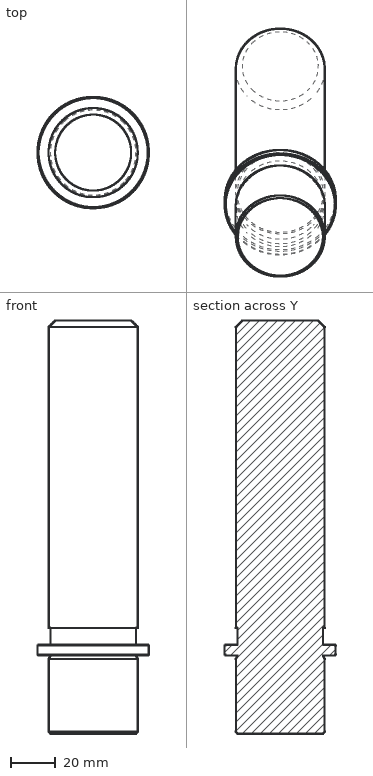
import cadquery as cq

total_height = 185.0
shaft_radius = 20.0
flange_radius = 25.0

shank_height = 35.0
base_chamfer = 1.0
shoulder_height = 1.5
shoulder_depth = 0.7

flange_height = 5.0
flange_chamfer = 0.5

neck_radius = 19.2
neck_height = 7.4

top_chamfer = 3.0


def cylinder(radius, bottom, top):
    """Solid cylinder on the Z axis between two heights."""
    return cq.Workplane("XY").workplane(offset=bottom).circle(radius).extrude(top - bottom)


flange_top = shank_height + flange_height
neck_top = flange_top + neck_height

shank = (
    cylinder(shaft_radius, 0, shank_height)
    .faces("<Z")
    .chamfer(base_chamfer)
    .faces(">Z")
    .chamfer(shoulder_height, shoulder_depth)
)

flange = cylinder(flange_radius, shank_height, flange_top).edges().chamfer(flange_chamfer)

neck = cylinder(neck_radius, flange_top, neck_top)
shaft = cylinder(shaft_radius, neck_top, total_height).faces(">Z").chamfer(top_chamfer)

result = shank.union(flange).union(neck).union(shaft)